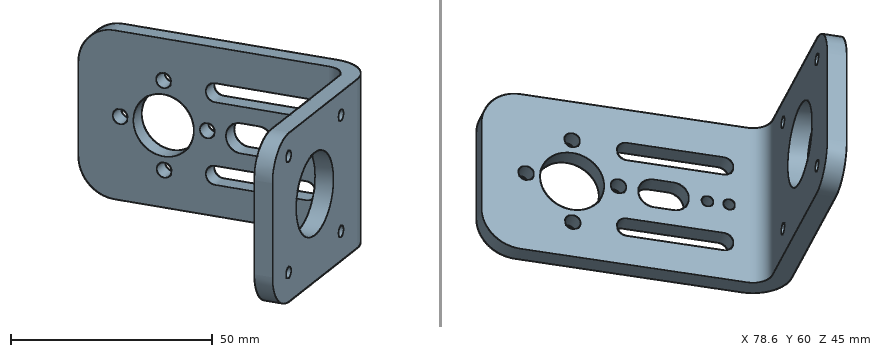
import cadquery as cq

length = 78.6
depth = 60.0
height = 45.0
thickness = 5.0
inner_bend_radius = 5.0
outer_bend_radius = inner_bend_radius + thickness
corner_radius = 10.0

long_leg_axis_z = -0.6
bore_diameter = 16.5
bore_x = 23.3
bolt_diameter = 4.0
bolt_spots = [(11.5, -0.2), (35.3, -0.1), (23.3, 11.3), (23.5, -12.5)]
slot_length = 30.0
slot_width = 5.0
slot_x = 49.9
slot_offset = 11.0
window_length = 13.05
window_width = 8.0
window_x = 46.9
pin_diameter = 3.0
pin_xs = (58.2, 63.8)

motor_bore_diameter = 22.0
motor_distance = 35.05
motor_z = 0.9
motor_screw_diameter = 3.0
motor_screw_pitch = 30.95


def rounded_strip():
    """L-shaped strip with its bend, centred on Z = 0; outer back face at Y = 0."""
    strip = (
        cq.Workplane("XY")
        .polyline([
            (0, 0),
            (length, 0),
            (length, -depth),
            (length - thickness, -depth),
            (length - thickness, -thickness),
            (0, -thickness),
        ])
        .close()
        .extrude(height / 2, both=True)
    )
    inner_edge = cq.selectors.NearestToPointSelector((length - thickness, -thickness, 0))
    strip = strip.edges("|Z").edges(inner_edge).fillet(inner_bend_radius)
    strip = strip.edges("|Z and >X and >Y").fillet(outer_bend_radius)
    strip = strip.faces("<X").edges("|Y").fillet(corner_radius)
    return strip.faces("<Y").edges("|X").fillet(corner_radius)


def long_leg_cuts():
    """Bore, bolt holes, slots and pin holes through the long leg."""
    face = cq.Workplane("XZ")
    slot_centres = [(slot_x, long_leg_axis_z + side * slot_offset) for side in (-1, 1)]
    pin_centres = [(x, long_leg_axis_z) for x in pin_xs]
    bore = face.center(bore_x, long_leg_axis_z).circle(bore_diameter / 2).extrude(thickness)
    bolts = face.pushPoints(bolt_spots).circle(bolt_diameter / 2).extrude(thickness)
    slots = face.pushPoints(slot_centres).slot2D(slot_length, slot_width).extrude(thickness)
    window = (
        face.center(window_x, long_leg_axis_z)
        .slot2D(window_length, window_width)
        .extrude(thickness)
    )
    pins = face.pushPoints(pin_centres).circle(pin_diameter / 2).extrude(thickness)
    return [bore, bolts, slots, window, pins]


def short_leg_cuts():
    """Motor bore and its square of four screw holes through the short leg."""
    face = cq.Workplane("YZ", origin=(length - thickness, -motor_distance, motor_z))
    bore = face.circle(motor_bore_diameter / 2).extrude(thickness)
    screws = (
        face.rarray(motor_screw_pitch, motor_screw_pitch, 2, 2)
        .circle(motor_screw_diameter / 2)
        .extrude(thickness)
    )
    return [bore, screws]


result = rounded_strip()
for cut in long_leg_cuts() + short_leg_cuts():
    result = result.cut(cut)